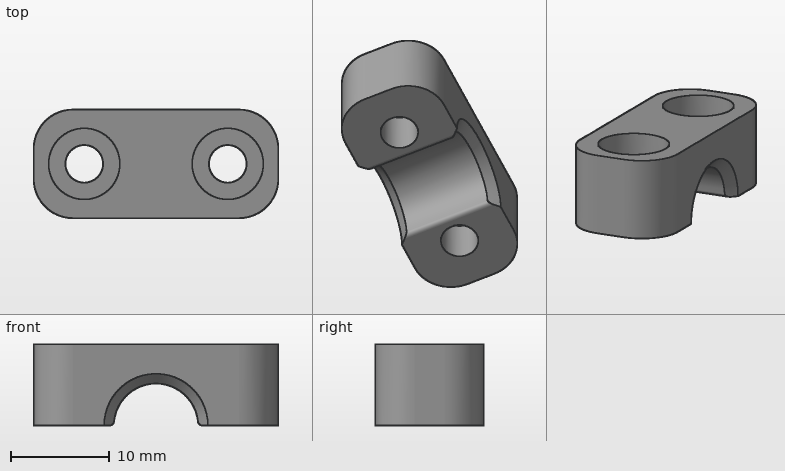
import cadquery as cq

LENGTH = 24.75
WIDTH = 11.0
HEIGHT = 8.25
CORNER_RADIUS = 4.0

HOLE_SPACING = 14.5
HOLE_DIAMETER = 3.78
COUNTERBORE_DIAMETER = 7.2
COUNTERBORE_DEPTH = 2.75

CHANNEL_RADIUS = 4.25
CHANNEL_CHAMFER = 1.0
CHANNEL_LIP_RADIUS = 0.5


def rounded_block():
    """Block standing on Z = 0 with rounded vertical corners."""
    block = cq.Workplane("XY").box(LENGTH, WIDTH, HEIGHT, centered=(True, True, False))
    return block.edges("|Z").fillet(CORNER_RADIUS)


def cut_channel(block):
    """Cut the channel and round the lips where it meets the bottom face."""
    channel = cq.Workplane("XZ").circle(CHANNEL_RADIUS).extrude(WIDTH / 2, both=True)
    lip_zone = cq.selectors.BoxSelector(
        (-CHANNEL_RADIUS - CHANNEL_LIP_RADIUS, -WIDTH, -CHANNEL_LIP_RADIUS),
        (CHANNEL_RADIUS + CHANNEL_LIP_RADIUS, WIDTH, CHANNEL_LIP_RADIUS),
    )
    return block.cut(channel).edges("|Y").edges(lip_zone).fillet(CHANNEL_LIP_RADIUS)


def channel_mouths():
    """Truncated cones that widen the channel at its two ends."""
    mouth_radius = CHANNEL_RADIUS + CHANNEL_CHAMFER
    half_width = WIDTH / 2
    front_profile = [
        (0, -half_width),
        (mouth_radius, -half_width),
        (CHANNEL_RADIUS, -half_width + CHANNEL_CHAMFER),
        (0, -half_width + CHANNEL_CHAMFER),
    ]
    front = cq.Workplane("XY").polyline(front_profile).close().revolve(360, (0, 0), (0, 1))
    return front.union(front.mirror("XZ"))


def cut_screw_holes(block):
    """Counterbored holes through the block on both sides of the channel."""
    return (
        block.faces(">Z")
        .workplane(origin=(0, 0, HEIGHT))
        .rarray(HOLE_SPACING, 1, 2, 1)
        .cboreHole(HOLE_DIAMETER, COUNTERBORE_DIAMETER, COUNTERBORE_DEPTH)
    )


body = cut_channel(rounded_block()).cut(channel_mouths())
result = cut_screw_holes(body)